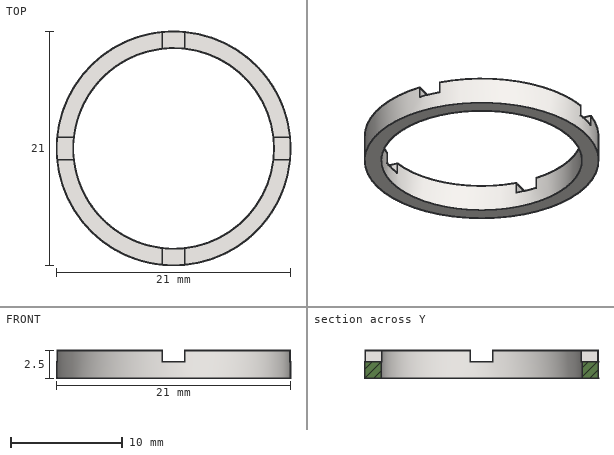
import cadquery as cq

outer_diameter = 21.0
inner_diameter = 18.0
height = 2.5

notch_width = 2.0
notch_depth = 1.0


def ring():
    """Plain ring standing on the XY plane."""
    return (
        cq.Workplane("XY")
        .circle(outer_diameter / 2)
        .circle(inner_diameter / 2)
        .extrude(height)
    )


def notch_bar(angle):
    """Bar spanning the ring, cutting two opposite notches."""
    return (
        cq.Workplane("XY")
        .workplane(offset=height - notch_depth)
        .rect(outer_diameter, notch_width)
        .extrude(notch_depth)
        .rotate((0, 0, 0), (0, 0, 1), angle)
    )


result = ring()
for angle in (0, 90):
    result = result.cut(notch_bar(angle))